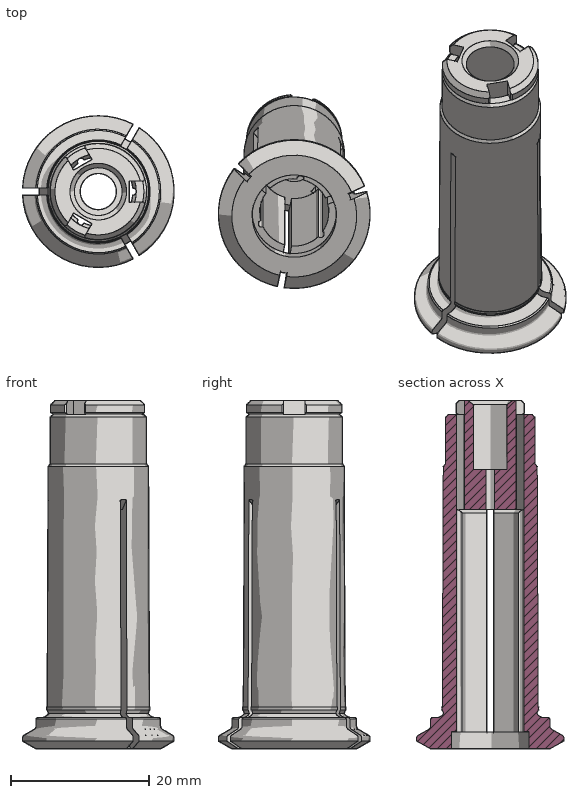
import cadquery as cq
import math

height = 50.5

rim_radius = 11.0
rim_bottom = 1.13
rim_corner = 1.86
rim_fillet = 0.5
collar_fillet = 0.5
flange_angle = math.radians(30)
foot_radius = rim_radius - rim_bottom / math.tan(flange_angle)

collar_radius = 9.05
collar_top = 4.55
collar_chamfer = 0.2

neck_radius = 7.25
neck_bottom = 5.15
neck_arc_radius = 1.2
bead_radius = 7.5
bead_bottom = 5.65
bead_top = 6.1
body_radius = 7.44
shoulder_radius = 7.3
shoulder_bottom = 40.9
shoulder_top = 41.3
upper_radius = 14.0 / 2
upper_top = 48.5
upper_chamfer = 0.45

undercut_radius = upper_radius - upper_chamfer
crown_radius = 6.95
crown_bottom = 48.75
crown_chamfer = 0.68

screw_hole_radius = 5.2 / 2
guide_hole_radius = 6.92 / 2
guide_hole_depth = 10.0
mouth_radius = 8.2 / 2

seat_radius = 5.5
bore_radius = 5.0
foot_bore_radius = 12.2 / 2
foot_bore_height = 2.46

repeat_count = 3
repeat_angle = 360 / repeat_count
first_slit_angle = 180
slit_width = 1.0
cutter_margin = 1.0
slit_far_reach = seat_radius
slit_foot_radius = 8.56
slit_top = 36.25
slit_inner_top = 34.65
notch_depth = 2.05
notch_width = 3.05
notch_inner = 4.5
notch_flare_start = 6.58
notch_flare_angle = math.radians(60)


def revolved(outline):
    return outline.close().revolve(360, (0, 0, 0), (0, 1, 0))


def corner_arc_ends(radius, corner, fillet, side):
    """Ends of the fillet where the upper flange cone meets a vertical wall: on the cone, on the wall."""
    tangent = fillet * math.tan((math.pi / 2 - flange_angle) / 2)
    on_cone = (
        radius + side * tangent * math.cos(flange_angle),
        corner - side * tangent * math.sin(flange_angle),
    )
    on_wall = (radius, corner + side * tangent)
    return on_cone, on_wall


def outer_body():
    collar_corner = rim_corner + (rim_radius - collar_radius) * math.tan(flange_angle)
    rim_arc_end, rim_arc_start = corner_arc_ends(rim_radius, rim_corner, rim_fillet, -1)
    collar_arc_start, collar_arc_end = corner_arc_ends(collar_radius, collar_corner, collar_fillet, 1)
    arc_drop = neck_arc_radius - (neck_bottom - collar_top)
    neck_foot_radius = neck_radius + math.sqrt(neck_arc_radius**2 - arc_drop**2)
    outline = (
        cq.Workplane("XZ")
        .lineTo(foot_radius, 0)
        .lineTo(rim_radius, rim_bottom)
        .lineTo(*rim_arc_start)
        .radiusArc(rim_arc_end, -rim_fillet)
        .lineTo(*collar_arc_start)
        .radiusArc(collar_arc_end, collar_fillet)
        .lineTo(collar_radius, collar_top - collar_chamfer)
        .lineTo(collar_radius - collar_chamfer, collar_top)
        .lineTo(neck_foot_radius, collar_top)
        .radiusArc((neck_radius, neck_bottom), neck_arc_radius)
        .lineTo(body_radius, bead_bottom)
        .lineTo(bead_radius, bead_bottom)
        .lineTo(bead_radius, bead_top)
        .lineTo(body_radius, bead_top)
        .lineTo(shoulder_radius, shoulder_bottom)
        .lineTo(upper_radius, shoulder_top)
        .lineTo(upper_radius, upper_top - upper_chamfer)
        .lineTo(undercut_radius, upper_top)
        .lineTo(crown_radius, crown_bottom)
        .lineTo(crown_radius, height - crown_chamfer)
        .lineTo(crown_radius - crown_chamfer, height)
        .lineTo(0, height)
    )
    return revolved(outline)


def bore():
    seat_height = seat_radius - bore_radius
    outline = (
        cq.Workplane("XZ")
        .lineTo(foot_bore_radius, 0)
        .lineTo(foot_bore_radius, foot_bore_height)
        .lineTo(bore_radius, foot_bore_height)
        .lineTo(bore_radius, slit_inner_top - seat_height)
        .lineTo(seat_radius, slit_inner_top)
        .lineTo(0, slit_inner_top)
    )
    return revolved(outline)


def central_hole():
    mouth_depth = mouth_radius - guide_hole_radius
    outline = (
        cq.Workplane("XZ")
        .lineTo(screw_hole_radius, 0)
        .lineTo(screw_hole_radius, height - guide_hole_depth)
        .lineTo(guide_hole_radius, height - guide_hole_depth)
        .lineTo(guide_hole_radius, height - mouth_depth)
        .lineTo(mouth_radius, height)
        .lineTo(0, height)
    )
    return revolved(outline)


def slit():
    """A slit through the wall on +X, crossing the bore to a rounded groove on its far side.

    Both ends of the slit slope, so it narrows from the outside down to its inner height.
    """
    outer_x = rim_radius + cutter_margin
    top_slope = (slit_top - slit_inner_top) / (body_radius - foot_bore_radius)
    side = (
        cq.Workplane("XZ")
        .moveTo(-slit_far_reach, foot_bore_height)
        .lineTo(foot_bore_radius, foot_bore_height)
        .lineTo(slit_foot_radius, 0)
        .lineTo(outer_x, 0)
        .lineTo(outer_x, slit_top + (outer_x - body_radius) * top_slope)
        .lineTo(foot_bore_radius, slit_inner_top)
        .lineTo(-slit_far_reach, slit_inner_top)
        .close()
        .extrude(slit_width / 2, both=True)
    )
    round_x = slit_width / 2 - slit_far_reach
    plan = (
        cq.Workplane("XY")
        .moveTo(outer_x, -slit_width / 2)
        .lineTo(outer_x, slit_width / 2)
        .lineTo(round_x, slit_width / 2)
        .threePointArc((-slit_far_reach, 0), (round_x, -slit_width / 2))
        .close()
        .extrude(height)
    )
    return side.intersect(plan)


def notch():
    """A notch across the crown, with a channel below it down to the sleeve bore."""
    outer_x = rim_radius
    half_width = notch_width / 2
    flared_half_width = half_width + (outer_x - notch_flare_start) * math.tan(notch_flare_angle)
    crown_cut = (
        cq.Workplane("XY", origin=(0, 0, height - notch_depth))
        .moveTo(notch_inner, -half_width)
        .lineTo(notch_flare_start, -half_width)
        .lineTo(outer_x, -flared_half_width)
        .lineTo(outer_x, flared_half_width)
        .lineTo(notch_flare_start, half_width)
        .lineTo(notch_inner, half_width)
        .close()
        .extrude(notch_depth)
    )
    channel_height = height - slit_inner_top
    channel_floor = cq.Workplane("XY", origin=(0, 0, slit_inner_top))
    channel_length = seat_radius - notch_inner
    channel = (
        channel_floor.center(notch_inner + channel_length / 2, 0)
        .rect(channel_length, notch_width)
        .extrude(channel_height)
        .intersect(channel_floor.circle(seat_radius).extrude(channel_height))
    )
    return crown_cut.union(channel)


def turned(shape, angle):
    return shape.rotate((0, 0, 0), (0, 0, 1), angle)


sleeve = outer_body().cut(bore())
for index in range(repeat_count):
    sleeve = sleeve.cut(turned(slit(), first_slit_angle + index * repeat_angle))

result = sleeve.cut(central_hole())
for index in range(repeat_count):
    result = result.cut(turned(notch(), index * repeat_angle))